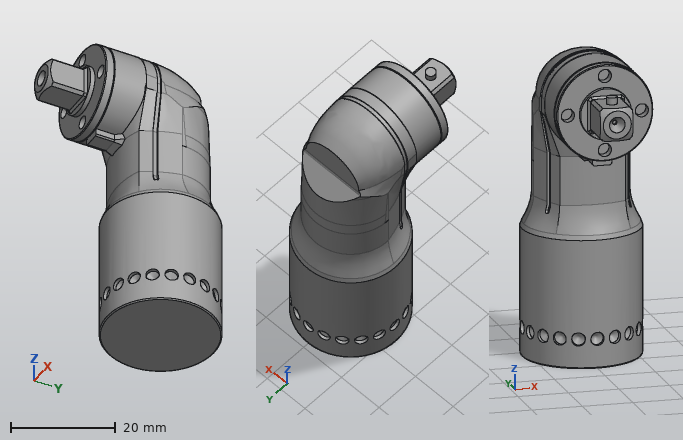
import cadquery as cq
import math


total_height = 61.5
overlap = 0.6
barrel_radius = 11.75
barrel_top = 25.4
barrel_bottom_chamfer = 0.25
shoulder_top = 26.3
shoulder_radius = 11.4

neck_radius = 9.55
neck_bottom = 31.85
neck_top = 38.75
side_start_y = -0.46
neck_corner = (6.5, -8.25)
neck_side_middle = (8.35, -4.35)
flare_steps = 4
flare_power = 1.6
shoulder_side_x = 10.15
shoulder_corner_x = 7.4

head_radius = 9.55
head_axis_z = total_height - head_radius
cap_face_y = -17.0
cap_thickness = 1.95
cap_groove_width = 0.2
cap_groove_depth = 0.1
cap_edge_chamfer = 0.2
cap_back_y = cap_face_y + cap_thickness
head_back_y = neck_corner[1]
head_front_y = -12.3
head_side_y = -4.6
head_side_taper = 0.05
widening_start = 41.5
widening_end = 49.8
rear_lean_share = 0.3

vent_count = 20
vent_radius = 1.3
vent_height = 5.85
vent_wall_depth = 0.75
vent_tip_depth = 0.8

dome_start_y = -5.55
dome_length = 13.5
dome_end_y = 6.15
dome_steps = 5
dome_drop = 0.155
dome_side_start_z = 48.0
dome_side_power = 0.33
rear_flat_y = 5.05
rear_flat_bottom = 51.05
rear_slope_y = 9.1
rear_slope_bottom = 47.7
rear_slope_fillet = 0.5

groove_center_y = -5.4
groove_width = 0.85
groove_depth = 0.25
groove_bottom = 29.65
groove_flare_half_width = 8.5
groove_neck_half_width = 7.95
groove_neck_low = 31.05

hub_radius = 5.05
hub_length = 0.9
hub_face_y = cap_face_y - hub_length
drive_tip_y = -25.9
drive_width = 6.45
drive_corner_chamfer = 0.6
drive_root_flare = 0.4
drive_root_angle = 45.0
drive_tip_radius = 2.75
drive_tip_slope = 0.6
center_hole_radius = 1.55
center_pilot_radius = 0.4
center_cone_depth = 1.85
center_pilot_depth = 0.6
pin_radius = 1.05
pin_y = -21.95
pin_height = 1.35

cap_hole_count = 4
cap_hole_radius = 1.3
cap_hole_circle = 7.3
cap_hole_depth = 1.85

tab_half_width = 1.9
tab_bottom = 41.1
tab_overlap = 1.2
tab_chamfer = 0.3
tab_root_chamfer = 1.0
tab_root_growth = 1.1
tab_root_drop = 0.5
tab_root_start_y = -11.0
tab_root_end_y = -9.2
tab_front_y = cap_back_y


def disc(radius, y_from, y_to):
    """Cylinder round the head axis between two Y positions."""
    plane = cq.Plane(origin=(0, y_from, head_axis_z), xDir=(1, 0, 0), normal=(0, -1, 0))
    return cq.Workplane(plane).circle(radius).extrude(y_from - y_to)


def blend(start, end, share):
    """Point a given share of the way from start to end."""
    return tuple(a + (b - a) * share for a, b in zip(start, end))


def neck_section(z, side, side_middle, corner, front, back):
    """Closed wire: bowed front, two sides meeting it at corners, round back."""
    def mirrored(point):
        return (-point[0], point[1])

    return (
        cq.Workplane("XY", origin=(0, 0, z))
        .moveTo(*mirrored(corner))
        .threePointArc(front, corner)
        .threePointArc(side_middle, side)
        .threePointArc(back, mirrored(side))
        .threePointArc(mirrored(side_middle), mirrored(corner))
        .close()
        .val()
    )


def loft(wires, ruled=False):
    return cq.Workplane(cq.Solid.makeLoft(wires, ruled))


def circle_point(radius, x):
    """Point at x on the front half of a circle round the barrel axis."""
    return (x, -math.sqrt(radius**2 - x**2))


neck_points = (
    (neck_radius, side_start_y),
    neck_side_middle,
    neck_corner,
    (0, -neck_radius),
    (0, neck_radius),
)
shoulder_points = (
    (shoulder_radius, 0),
    circle_point(shoulder_radius, shoulder_side_x),
    circle_point(shoulder_radius, shoulder_corner_x),
    (0, -shoulder_radius),
    (0, shoulder_radius),
)
head_points = (
    (head_radius, side_start_y),
    (head_radius - head_side_taper / 2, head_side_y),
    (head_radius - head_side_taper, head_back_y),
    (0, head_front_y),
    (0, rear_slope_y),
)


def make_barrel():
    barrel = (
        cq.Workplane("XY").circle(barrel_radius).extrude(barrel_top)
        .faces("<Z").edges().chamfer(barrel_bottom_chamfer)
    )
    shoulder = cq.Solid.makeCone(
        barrel_radius, shoulder_radius, shoulder_top - barrel_top, cq.Vector(0, 0, barrel_top)
    )
    return barrel.union(cq.Workplane(shoulder))


def make_flare():
    """Neck spreading down to the shoulder along a smooth concave curve."""
    wires = []
    for step in range(flare_steps + 1):
        drop = step / flare_steps
        share = drop**flare_power
        z = neck_bottom + (shoulder_top - neck_bottom) * drop
        points = [blend(a, b, share) for a, b in zip(neck_points, shoulder_points)]
        wires.append(neck_section(z, *points))
    return loft(wires)


def make_dome():
    """Blocks bounding the head: a half ellipse that sinks and narrows rearwards."""
    half_width = head_radius
    full_height = head_radius - dome_drop
    base_z = head_axis_z - neck_top

    def section(y):
        drop = max(0.0, y - dome_start_y) / dome_length
        height = full_height * math.sqrt(1 - drop**2)
        top_half_width = half_width * (1 - drop**2)**dome_side_power
        plane = cq.Plane(origin=(0, y, head_axis_z), xDir=(1, 0, 0), normal=(0, -1, 0))
        return (
            cq.Workplane(plane)
            .moveTo(-half_width, -base_z)
            .lineTo(half_width, -base_z)
            .lineTo(half_width, dome_side_start_z - head_axis_z)
            .lineTo(top_half_width, 0)
            .ellipseArc(top_half_width, height, 0, 180, startAtCurrent=True)
            .lineTo(-half_width, dome_side_start_z - head_axis_z)
            .close()
            .val()
        )

    front = loft([section(-2 * neck_radius), section(dome_start_y)])
    step_length = (dome_end_y - dome_start_y) / dome_steps
    rear = loft([section(dome_start_y + step * step_length) for step in range(dome_steps + 1)])
    skirt = (
        cq.Workplane("XY", origin=(0, dome_end_y, neck_top))
        .rect(2 * half_width, barrel_radius, centered=(True, False))
        .extrude(base_z)
    )
    return front, rear, skirt


def make_rear_cutter():
    """Flat on the back of the head, running out over a slope to the neck."""
    far_y = barrel_radius
    slope = (rear_flat_bottom - rear_slope_bottom) / (rear_slope_y - rear_flat_y)
    far_z = rear_flat_bottom - slope * (far_y - rear_flat_y)
    return (
        cq.Workplane("YZ", origin=(-barrel_radius, 0, 0))
        .moveTo(rear_flat_y, total_height)
        .lineTo(rear_flat_y, rear_flat_bottom)
        .lineTo(far_y, far_z)
        .lineTo(far_y, total_height)
        .close()
        .extrude(2 * barrel_radius)
        .edges(cq.selectors.NearestToPointSelector((0, rear_flat_y, rear_flat_bottom)))
        .fillet(rear_slope_fillet)
    )


def make_upper_neck():
    """Neck growing into the head, closed by the dome and the rear flat."""
    lean_back = blend(neck_points[-1], head_points[-1], rear_lean_share)
    lean_points = neck_points[:-1] + (lean_back,)
    lower = neck_section(neck_top, *neck_points)
    middle = neck_section(widening_start, *lean_points)
    upper = neck_section(widening_end, *head_points)
    top = neck_section(total_height, *head_points)
    body = loft([lower, middle, upper, top], ruled=True)
    front, rear, skirt = (body.intersect(block) for block in make_dome())
    return front.union(rear).union(skirt).cut(make_rear_cutter())


def make_neck():
    lower = neck_section(neck_bottom, *neck_points)
    upper = neck_section(neck_top, *neck_points)
    return loft([lower, upper], ruled=True)


def make_head():
    """Round gear head with its cap, parted by a fine groove."""
    head = disc(head_radius, head_back_y, cap_face_y).faces("<Y").edges().chamfer(cap_edge_chamfer)
    core = disc(head_radius - cap_groove_depth, cap_back_y, cap_back_y - cap_groove_width)
    ring = disc(head_radius + overlap, cap_back_y, cap_back_y - cap_groove_width).cut(core)
    return head.cut(ring)


def make_tab():
    """Small bar under the head, flaring out where it meets the neck."""
    def section(y, half_width, bottom, chamfer):
        top = head_axis_z - head_radius + tab_overlap
        return (
            cq.Workplane("XZ", origin=(0, y, 0))
            .moveTo(-half_width, top)
            .lineTo(-half_width, bottom + chamfer)
            .lineTo(-half_width + chamfer, bottom)
            .lineTo(half_width - chamfer, bottom)
            .lineTo(half_width, bottom + chamfer)
            .lineTo(half_width, top)
            .close()
            .val()
        )

    end = section(tab_front_y, tab_half_width, tab_bottom, tab_chamfer)
    flare_start = section(tab_root_start_y, tab_half_width, tab_bottom, tab_chamfer)
    flare_end = section(
        tab_root_end_y, tab_half_width + tab_root_growth, tab_bottom - tab_root_drop, tab_root_chamfer
    )
    return loft([end, flare_start, flare_end], ruled=True)


def make_groove():
    """Shallow line wrapped over the head and down both sides of the neck."""
    span = 4 * head_radius
    length = total_height - groove_bottom + groove_width
    slab = (
        cq.Workplane("YZ", origin=(-span / 2, 0, 0))
        .center(groove_center_y, groove_bottom + length / 2)
        .slot2D(length, groove_width, 90)
        .extrude(span)
    )
    flare_x = groove_flare_half_width - groove_depth
    neck_x = groove_neck_half_width - groove_depth
    head_x = head_radius - head_side_taper - groove_depth
    side = [
        (flare_x, groove_bottom - overlap),
        (neck_x, groove_neck_low),
        (neck_x, widening_start),
        (head_x, widening_end),
        (head_x, head_axis_z),
    ]
    mirrored_side = [(-x, z) for x, z in reversed(side)]
    core = (
        cq.Workplane("XZ", origin=(0, -span / 2, 0))
        .polyline(side)
        .threePointArc((0, total_height - groove_depth), mirrored_side[0])
        .polyline(mirrored_side[1:], includeCurrent=True)
        .close()
        .extrude(-span)
    )
    return slab.cut(core)


def make_vents():
    """Drilled blind holes with pointed ends, evenly spaced round the barrel."""
    profile = (
        cq.Workplane("XZ")
        .polyline([
            (barrel_radius + overlap, vent_height),
            (barrel_radius + overlap, vent_height + vent_radius),
            (barrel_radius - vent_wall_depth, vent_height + vent_radius),
            (barrel_radius - vent_wall_depth - vent_tip_depth, vent_height),
        ])
        .close()
    )
    vent = profile.revolve(360, (0, vent_height), (1, vent_height))
    vents = cq.Workplane("XY")
    for index in range(vent_count):
        vents = vents.add(vent.rotate((0, 0, 0), (0, 0, 1), index * 360 / vent_count))
    return vents.combine()


def make_cap_holes():
    plane = cq.Plane(origin=(0, cap_face_y, head_axis_z), xDir=(1, 0, 0), normal=(0, -1, 0))
    return (
        cq.Workplane(plane)
        .polarArray(cap_hole_circle, 0, 360, cap_hole_count)
        .circle(cap_hole_radius)
        .extrude(-cap_hole_depth)
    )


def make_drive():
    """Hub and square drive with a tapered root, tapered tip and detent pin."""
    def square(y, width):
        plane = cq.Plane(origin=(0, y, head_axis_z), xDir=(1, 0, 0), normal=(0, -1, 0))
        sketch = cq.Sketch().rect(width, width).vertices().chamfer(drive_corner_chamfer)
        return cq.Workplane(plane).placeSketch(sketch)

    def cone(start_y, end_y, start_radius, end_radius):
        direction = cq.Vector(0, math.copysign(1, end_y - start_y), 0)
        start = cq.Vector(0, start_y, head_axis_z)
        return cq.Workplane(
            cq.Solid.makeCone(start_radius, end_radius, abs(end_y - start_y), start, direction)
        )

    length = hub_face_y - drive_tip_y
    bar = square(hub_face_y, drive_width).extrude(length)
    envelope_radius = drive_tip_radius + length / drive_tip_slope
    envelope = cone(hub_face_y, drive_tip_y, envelope_radius, drive_tip_radius)
    bar = bar.intersect(envelope)

    root_width = drive_width + 2 * drive_root_flare
    root = square(hub_face_y, root_width).extrude(drive_root_flare, taper=drive_root_angle)

    pin_length = drive_width / 2 + pin_height
    pin = cq.Workplane("XY", origin=(0, pin_y, head_axis_z)).circle(pin_radius).extrude(pin_length)

    cone_end_y = drive_tip_y + center_cone_depth
    center_hole = cone(drive_tip_y, cone_end_y, center_hole_radius, center_pilot_radius)
    pilot = disc(center_pilot_radius, cone_end_y + center_pilot_depth, drive_tip_y)
    hub = disc(hub_radius, cap_face_y + overlap, hub_face_y)
    return hub.union(root).union(bar).union(pin).cut(center_hole).cut(pilot)


housing = make_barrel().union(make_flare()).union(make_neck()).union(make_upper_neck())
housing = housing.union(make_head()).union(make_tab())
housing = housing.cut(make_groove()).cut(make_vents()).cut(make_cap_holes())
result = housing.union(make_drive())